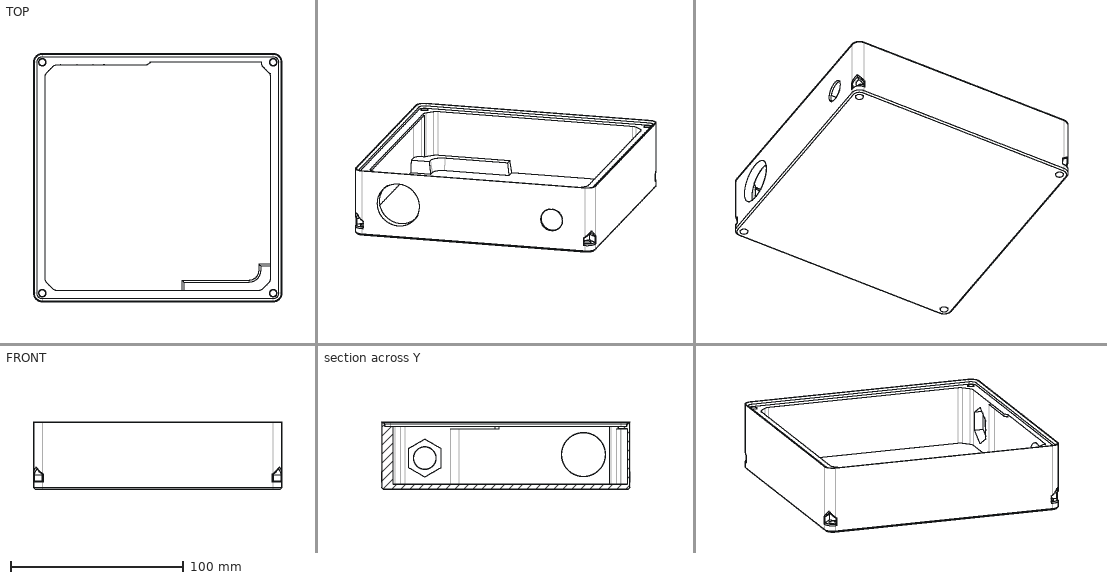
import cadquery as cq
import math

SIDE = 144.0
HEIGHT = 39.0
HALF = SIDE / 2
CORNER_R = 5.0
BASE_CHAMFER = 1.0
FLOOR = 3.0

RIM_WIDTH = 0.5
BEVEL_WIDTH = 1.5
BEVEL_DEPTH = 1.0
SEAT_DEPTH = 2.5
SEAT_Z = HEIGHT - SEAT_DEPTH
SEAT_HALF = HALF - RIM_WIDTH - BEVEL_WIDTH
SEAT_R = CORNER_R - RIM_WIDTH - BEVEL_WIDTH

WALL = 6.6
CAVITY_HALF = HALF - WALL
CAVITY_CHAMFER = 5.5
EDGE_R = 3.5

LIP_HEIGHT = 1.5
LIP_BOTTOM = SEAT_Z - LIP_HEIGHT
BACK_WALL = 5.0
BACK_FACE = HALF - BACK_WALL
BACK_TAPER_START = -32.0
BACK_TAPER_LENGTH = 4.9
LIP_END = -6.3
LIP_STEP = 2.3
SIDE_WALL = 1.5
SIDE_FACE = HALF - SIDE_WALL
SIDE_FILLET = 3.6

COLUMN_FACE = 60.0
COLUMN_EDGE = 2 * CAVITY_HALF - CAVITY_CHAMFER - COLUMN_FACE

ROUND_D = 25.3
ROUND_X = 45.0
ROUND_Z = 20.2
HEX_ACROSS_FLATS = 19.0
HEX_DEPTH = 5.3
HEX_HOLE_D = 13.0
HEX_X = -47.0
HEX_Z = 18.1

SCREW_PLACE = HALF - CORNER_R
SCREW_D = 3.9
SCREW_LOWER_D = 4.5
SLOT_Z = 4.9
SLOT_WIDTH = 7.2
SLOT_WALL_HEIGHT = 3.5
SLOT_INNER_REACH = 3.5
SLOT_OUTER_REACH = 7.2
SLOT_MOUTH_CHAMFER = 0.7
EDGE_MARGIN = 0.1

BENCH_LEFT = 14.1
BENCH_FACE_X = 58.6
BENCH_FACE_Y = -59.5
BENCH_END_Y = -50.1
BENCH_R = 5.8
BENCH_HEIGHT = 7.2
BENCH_SLOPE = 1.2


def level(z):
    return cq.Workplane("XY").workplane(offset=z)


def rounded_square(half, radius, z, height, taper=0):
    sketch = cq.Sketch().rect(2 * half, 2 * half).vertices().fillet(radius)
    return level(z).placeSketch(sketch).extrude(height, taper=taper)


def outer_block():
    return rounded_square(HALF, CORNER_R, 0, HEIGHT).faces("<Z").chamfer(BASE_CHAMFER)


def lid_seat():
    step = rounded_square(SEAT_HALF, SEAT_R, SEAT_Z, SEAT_DEPTH)
    slope = math.degrees(math.atan(BEVEL_WIDTH / BEVEL_DEPTH))
    bevel = rounded_square(HALF - RIM_WIDTH, CORNER_R - RIM_WIDTH, HEIGHT, -BEVEL_DEPTH, taper=slope)
    return step.union(bevel)


def main_cavity():
    return (
        level(FLOOR)
        .rect(2 * CAVITY_HALF, 2 * CAVITY_HALF)
        .extrude(SEAT_Z - FLOOR)
        .edges("|Z")
        .chamfer(CAVITY_CHAMFER)
        .edges("|Z")
        .fillet(EDGE_R)
    )


def back_recess(start, taper_length, top):
    """Cut into the +Y wall from a sloped start at x = start to the corner column."""
    return (
        level(FLOOR)
        .moveTo(start, CAVITY_HALF)
        .lineTo(start + taper_length, BACK_FACE)
        .lineTo(COLUMN_FACE, BACK_FACE)
        .lineTo(COLUMN_FACE, COLUMN_EDGE)
        .lineTo(COLUMN_EDGE, COLUMN_FACE)
        .lineTo(COLUMN_FACE, 0)
        .lineTo(start, 0)
        .close()
        .extrude(top - FLOOR)
        .edges(cq.selectors.NearestToPointSelector((COLUMN_FACE, COLUMN_EDGE, (FLOOR + top) / 2)))
        .fillet(EDGE_R)
    )


def side_recess():
    """Cut into the +X wall between the corner column and its mirror position."""
    mid_z = (FLOOR + LIP_BOTTOM) / 2
    return (
        level(FLOOR)
        .moveTo(0, COLUMN_FACE)
        .lineTo(COLUMN_FACE, COLUMN_EDGE)
        .lineTo(COLUMN_EDGE, COLUMN_FACE)
        .lineTo(SIDE_FACE, COLUMN_FACE)
        .lineTo(SIDE_FACE, -COLUMN_FACE)
        .lineTo(0, -COLUMN_FACE)
        .close()
        .extrude(LIP_BOTTOM - FLOOR)
        .edges("|Z and >X")
        .fillet(SIDE_FILLET)
        .edges(cq.selectors.NearestToPointSelector((COLUMN_EDGE, COLUMN_FACE, mid_z)))
        .fillet(EDGE_R)
    )


def back_wall_cut(x, z):
    """Workplane on the inner +Y wall face; negative extrusion goes outward."""
    return cq.Workplane("XZ", origin=(x, CAVITY_HALF, z))


def back_openings():
    hex_diameter = HEX_ACROSS_FLATS / math.cos(math.pi / 6)
    round_hole = back_wall_cut(ROUND_X, ROUND_Z).circle(ROUND_D / 2).extrude(-WALL)
    hex_pocket = (
        back_wall_cut(HEX_X, HEX_Z)
        .transformed(rotate=(0, 0, 90))
        .polygon(6, hex_diameter)
        .extrude(-HEX_DEPTH)
    )
    hex_hole = back_wall_cut(HEX_X, HEX_Z).circle(HEX_HOLE_D / 2).extrude(-WALL)
    return round_hole.union(hex_pocket).union(hex_hole)


def nut_slot():
    """House-shaped tunnel running outward through the +X +Y corner, its roof rising at 45 degrees."""
    half_width = SLOT_WIDTH / 2
    return (
        cq.Workplane("YZ", origin=(-SLOT_INNER_REACH, 0, SLOT_Z))
        .moveTo(-half_width, 0)
        .lineTo(half_width, 0)
        .lineTo(half_width, SLOT_WALL_HEIGHT)
        .lineTo(0, SLOT_WALL_HEIGHT + half_width)
        .lineTo(-half_width, SLOT_WALL_HEIGHT)
        .close()
        .extrude(SLOT_INNER_REACH + SLOT_OUTER_REACH)
        .rotate((0, 0, 0), (0, 0, 1), 45)
        .translate((SCREW_PLACE, SCREW_PLACE, 0))
    )


def screw_holes():
    corners = level(0).rect(2 * SCREW_PLACE, 2 * SCREW_PLACE, forConstruction=True).vertices()
    shanks = corners.circle(SCREW_D / 2).extrude(HEIGHT)
    lower_holes = corners.circle(SCREW_LOWER_D / 2).extrude(SLOT_Z)
    return shanks.union(lower_holes)


def floor_bench():
    taper = math.degrees(math.atan(BENCH_SLOPE / BENCH_HEIGHT))
    return (
        level(FLOOR)
        .moveTo(BENCH_LEFT, -HALF)
        .lineTo(BENCH_LEFT, BENCH_FACE_Y)
        .lineTo(BENCH_FACE_X - BENCH_R, BENCH_FACE_Y)
        .radiusArc((BENCH_FACE_X, BENCH_FACE_Y + BENCH_R), -BENCH_R)
        .lineTo(BENCH_FACE_X, BENCH_END_Y)
        .lineTo(HALF, BENCH_END_Y)
        .lineTo(HALF, -HALF)
        .close()
        .extrude(BENCH_HEIGHT, taper=taper)
    )


def slotted_block():
    """Outer block with a nut slot at each corner, the slot mouths chamfered."""
    slot_top = SLOT_Z + SLOT_WALL_HEIGHT + SLOT_WIDTH / 2
    inner = SCREW_PLACE - EDGE_MARGIN
    outer = HALF + EDGE_MARGIN
    corner_region = cq.selectors.BoxSelector(
        (inner, inner, SLOT_Z - EDGE_MARGIN),
        (outer, outer, slot_top),
    )
    ridge = cq.selectors.ParallelDirSelector(cq.Vector(1, 1, 0))
    block = outer_block()
    for _ in range(4):
        block = block.cut(nut_slot()).edges(corner_region - ridge).chamfer(SLOT_MOUTH_CHAMFER)
        block = block.rotate((0, 0, 0), (0, 0, 1), 90)
    return block


slotted = slotted_block()
result = (
    slotted
    .cut(lid_seat())
    .cut(main_cavity())
    .cut(back_recess(BACK_TAPER_START, BACK_TAPER_LENGTH, LIP_BOTTOM))
    .cut(back_recess(LIP_END, LIP_STEP, SEAT_Z))
    .cut(side_recess())
    .cut(back_openings())
    .union(floor_bench().intersect(slotted))
    .cut(screw_holes())
)